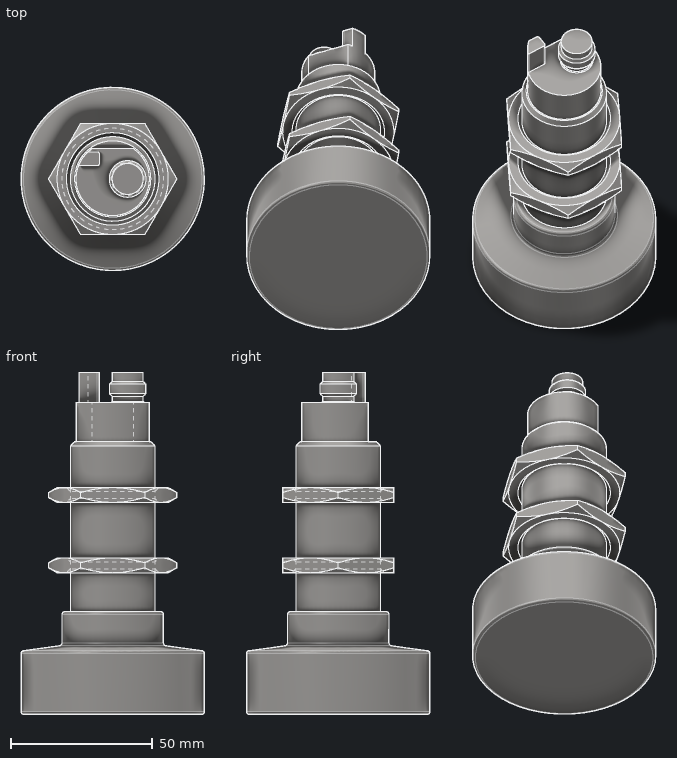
import cadquery as cq
import math

base_radius = 32.5
base_edge_fillet = 1.0
base_rim_height = 22.5
base_slope_rise = 2.0
neck_radius = 18.0
neck_top = 36.5

barrel_radius = 15.0
barrel_top = 96.7
barrel_chamfer = 1.5

cap_radius = 13.0
cap_top = 110.6
cap_flat_y = 10.7

overall_height = 121.2
key_inner_x = -4.7
key_front_y = 4.7
key_back_y = 9.6
key_inner_fillet = 0.8
key_outer_fillet = 0.3
connector_x = 5.3
connector_radius = 5.5
connector_root_flare = 0.35
collar_radius = 6.5
collar_bottom = 112.7
collar_top = 118.0
collar_chamfer = collar_radius - connector_radius

nut_across_flats = 39.4
nut_thickness = 5.3
nut_bottoms = (50.2, 75.1)
nut_corner_angle = 30.0
nut_bore_chamfer = 1.4


def make_base():
    """Disc with a gently sloped top rising to the neck, all edges rounded."""
    slope_top = base_rim_height + base_slope_rise
    base = (
        cq.Workplane("XZ")
        .moveTo(0, 0)
        .lineTo(base_radius, 0)
        .lineTo(base_radius, base_rim_height)
        .lineTo(neck_radius, slope_top)
        .lineTo(neck_radius, neck_top)
        .lineTo(0, neck_top)
        .close()
        .revolve(360, (0, 0, 0), (0, 1, 0))
    )
    return base.edges("%CIRCLE").fillet(base_edge_fillet)


def make_barrel():
    """Plain barrel with a chamfered upper edge."""
    return (
        cq.Workplane("XY")
        .workplane(offset=neck_top)
        .circle(barrel_radius)
        .extrude(barrel_top - neck_top)
        .faces(">Z")
        .edges()
        .chamfer(barrel_chamfer)
    )


def make_cap():
    """Cylinder on top of the barrel, cut flat on its +Y side."""
    length = cap_top - barrel_top
    cap = cq.Workplane("XY").workplane(offset=barrel_top).circle(cap_radius).extrude(length)
    keep = (
        cq.Workplane("XY")
        .workplane(offset=barrel_top)
        .center(0, cap_flat_y - cap_radius)
        .rect(2 * cap_radius, 2 * cap_radius)
        .extrude(length)
    )
    return cap.intersect(keep)


def make_key():
    """Upright key whose outer face follows the cap with its inner edges and its front outer edge rounded."""
    outer_x_front = -math.sqrt(cap_radius**2 - key_front_y**2)
    outer_x_back = -math.sqrt(cap_radius**2 - key_back_y**2)
    middle_y = (key_front_y + key_back_y) / 2
    middle_x = -math.sqrt(cap_radius**2 - middle_y**2)
    return (
        cq.Workplane("XY")
        .workplane(offset=cap_top)
        .moveTo(outer_x_front, key_front_y)
        .lineTo(key_inner_x, key_front_y)
        .lineTo(key_inner_x, key_back_y)
        .lineTo(outer_x_back, key_back_y)
        .threePointArc((middle_x, middle_y), (outer_x_front, key_front_y))
        .close()
        .extrude(overall_height - cap_top)
        .edges("|Z and >X")
        .fillet(key_inner_fillet)
        .edges("|Z and <X")
        .fillet(key_outer_fillet)
    )


def make_connector():
    """Round connector post flared at its root, with a collar chamfered on both edges."""
    post = (
        cq.Workplane("XY")
        .workplane(offset=cap_top)
        .center(connector_x, 0)
        .circle(connector_radius)
        .extrude(overall_height - cap_top)
    )
    collar = (
        cq.Workplane("XY")
        .workplane(offset=collar_bottom)
        .center(connector_x, 0)
        .circle(collar_radius)
        .extrude(collar_top - collar_bottom)
        .edges()
        .chamfer(collar_chamfer)
    )
    root = (
        cq.Workplane("XY")
        .workplane(offset=cap_top)
        .center(connector_x, 0)
        .circle(connector_radius + connector_root_flare)
        .extrude(connector_root_flare, taper=45)
    )
    return post.union(collar).union(root)


def make_sensor():
    """Base, barrel, cap, key and connector as one solid."""
    return make_base().union(make_barrel()).union(make_cap()).union(make_key()).union(make_connector())


def make_nut(bottom):
    """Hexagonal nut with corners along X, bevelled corners and a bore chamfered at both ends."""
    corner_radius = nut_across_flats / math.sqrt(3)
    inscribed_radius = nut_across_flats / 2
    bevel_drop = (corner_radius - inscribed_radius) * math.tan(math.radians(nut_corner_angle))
    top = bottom + nut_thickness
    mouth_radius = barrel_radius + nut_bore_chamfer

    hexagon = (
        cq.Workplane("XY")
        .workplane(offset=bottom)
        .polygon(6, 2 * corner_radius)
        .extrude(nut_thickness)
    )
    turned_ring = (
        cq.Workplane("XZ")
        .moveTo(mouth_radius, bottom)
        .lineTo(inscribed_radius, bottom)
        .lineTo(corner_radius, bottom + bevel_drop)
        .lineTo(corner_radius, top - bevel_drop)
        .lineTo(inscribed_radius, top)
        .lineTo(mouth_radius, top)
        .lineTo(barrel_radius, top - nut_bore_chamfer)
        .lineTo(barrel_radius, bottom + nut_bore_chamfer)
        .close()
        .revolve(360, (0, 0, 0), (0, 1, 0))
    )
    return hexagon.intersect(turned_ring)


sensor = make_sensor()
nuts = [make_nut(bottom) for bottom in nut_bottoms]

result = cq.Compound.makeCompound([sensor.val(), *[nut.val() for nut in nuts]])